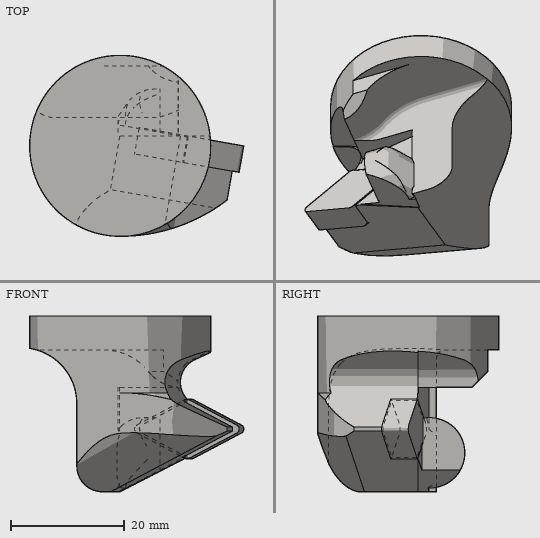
import cadquery as cq
import math


shank_radius = 32.0 / 2
head_height = 31.1
rake_tilt = 10.0
tilt = math.radians(rake_tilt)

reach = 60.0

back_wall_x = -7.67
back_fillet_start = -15.46
back_fillet_radius = 9.8
heel_radius = 4.6

insert_tip_x = 21.85
insert_tip_z = -20.0
insert_angle = 55.0
inscribed_diameter = 9.525
insert_thickness = 4.76
insert_corner_radius = 0.8
insert_rise = 0.21
seat_level = 3.58
seat_left_x = -1.0

half_angle = math.radians(insert_angle / 2)
nose_x = 20.28
nose_half_height = 0.36
slot_floor_x = 10.195
slot_radius = 4.4
slot_roof_angle = math.radians(25.0)

bulge_radius = 31.0
bulge_top = -13.6
bulge_back_y = 8.0

clearance_radius = 16.0
clearance_depth = 14.57
clearance_axis_y = -1.29

gullet_roof_z = -6.04
gullet_bend_z = -9.85
gullet_lip_z = -12.65
gullet_bend_x = 5.0
gullet_slope = math.radians(52.0)
gullet_wall_y = 4.98
gullet_fillet = 3.05 / 2
lip_back_y = 14.06
lip_chamfer = gullet_bend_z - gullet_lip_z

clamp_center_z = -24.2
clamp_crown_y = 10.0
clamp_crown_radius = 6.22
clamp_left_x = -4.0
clamp_right_x = 7.0
clamp_end_angle = math.radians(35.0)
clamp_upper_corner = 4.9
clamp_lower_corner = 1.8
clamp_shoulder_radius = 5.6


def tilted(shape):
    """Turn a shape modelled square to the axes into the tilted rake frame."""
    return shape.rotate((0, 0, 0), (0, 0, 1), -rake_tilt)


def slab(profile, front_y, back_y):
    """Extrude a closed X-Z profile from front_y to back_y."""
    return profile.extrude(front_y - back_y).translate((0, front_y, 0))


def on_circle(center, radius, angle):
    """Point of a circle in a sketch plane, at an angle from the first axis of that plane."""
    return (center[0] + radius * math.cos(angle), center[1] + radius * math.sin(angle))


def make_insert():
    """Rhombic plate with rounded corners, its sharp tip pointing along the tilted X axis."""
    half_length = inscribed_diameter / 2 / math.sin(half_angle)
    half_width = inscribed_diameter / 2 / math.cos(half_angle)
    tip_x = insert_tip_x * math.cos(tilt)
    rounding = insert_corner_radius * (1 / math.sin(half_angle) - 1)
    center_x = tip_x + rounding - half_length
    rhombus = (
        cq.Workplane("XZ")
        .center(center_x, insert_tip_z)
        .polyline([(half_length, 0), (0, half_width), (-half_length, 0), (0, -half_width)])
        .close()
    )
    top = seat_level + insert_rise
    plate = slab(rhombus, top - insert_thickness, top)
    return tilted(plate.edges("|Y").fillet(insert_corner_radius))


def make_bulge():
    """Swelling of the shank on the +X side, tangent to it at its front and coned on top."""
    disc = (
        cq.Workplane("XY", origin=(0, bulge_radius - shank_radius, -head_height))
        .circle(bulge_radius)
        .extrude(head_height)
    )
    front_corner = cq.Workplane("XY").box(
        reach, shank_radius + bulge_back_y, head_height, centered=False
    )
    front_corner = front_corner.translate((0, -shank_radius, -head_height))
    cone_base_radius = shank_radius + bulge_top + head_height
    cone = (
        cq.Workplane("XZ")
        .polyline([(0, bulge_top + shank_radius), (cone_base_radius, -head_height), (0, -head_height)])
        .close()
        .revolve(360, (0, 0, 0), (0, 1, 0))
    )
    return disc.intersect(front_corner).intersect(cone)


def make_clamp():
    """Domed boss whose slanted end, facing -X and +Y, is rounded along its edges."""
    crown = (
        cq.Workplane("YZ", origin=(clamp_left_x, 0, 0))
        .center(clamp_crown_y - clamp_crown_radius, clamp_center_z)
        .circle(clamp_crown_radius)
        .extrude(clamp_right_x - clamp_left_x)
    )
    end_run = clamp_crown_y * math.tan(clamp_end_angle)
    block = (
        cq.Workplane("XY", origin=(0, 0, clamp_center_z - clamp_crown_radius))
        .polyline([
            (clamp_left_x, 0),
            (clamp_right_x, 0),
            (clamp_right_x, clamp_crown_y),
            (clamp_left_x + end_run, clamp_crown_y),
        ])
        .close()
        .extrude(2 * clamp_crown_radius)
    )
    shoulder = cq.selectors.NearestToPointSelector(
        (clamp_left_x + end_run, clamp_crown_y, clamp_center_z)
    )
    block = block.edges(shoulder).fillet(clamp_shoulder_radius)
    block = block.faces("<X").edges(">Z").fillet(clamp_upper_corner)
    block = block.faces("<X").edges("<Z").fillet(clamp_lower_corner)
    return block.intersect(crown)


def back_cutter():
    """Everything left of the back wall, with its upper fillet and the rounded heel."""
    fillet_center = (back_wall_x - back_fillet_radius, back_fillet_start)
    heel_center = (back_wall_x + heel_radius, -head_height + heel_radius)
    outline = (
        cq.Workplane("XZ")
        .moveTo(fillet_center[0], back_fillet_start + back_fillet_radius)
        .threePointArc(
            on_circle(fillet_center, back_fillet_radius, math.radians(45)),
            (back_wall_x, back_fillet_start),
        )
        .lineTo(back_wall_x, heel_center[1])
        .threePointArc(
            on_circle(heel_center, heel_radius, math.radians(225)),
            (heel_center[0], -head_height),
        )
        .lineTo(fillet_center[0], -head_height)
        .close()
    )
    return slab(outline, -reach, reach)


def nose_outline():
    """Space beyond the nose: chip slot, both flanks and the nose flat."""
    sin_half = math.sin(half_angle)
    cos_half = math.cos(half_angle)
    nose_top = insert_tip_z + nose_half_height
    nose_bottom = insert_tip_z - nose_half_height
    center_x = slot_floor_x + slot_radius
    center = (center_x, nose_top + (slot_radius + (nose_x - center_x) * sin_half) / cos_half)
    roof_start = on_circle(center, slot_radius, math.pi / 2 + slot_roof_angle)
    flank_start = on_circle(center, slot_radius, -math.pi / 2 - half_angle)
    flank_drop = reach * math.tan(half_angle)
    return (
        cq.Workplane("XZ")
        .moveTo(nose_x, nose_top)
        .lineTo(*flank_start)
        .threePointArc((slot_floor_x, center[1]), roof_start)
        .lineTo(reach, roof_start[1] + (reach - roof_start[0]) * math.tan(slot_roof_angle))
        .lineTo(reach, nose_bottom - flank_drop)
        .lineTo(nose_x - reach, nose_bottom - flank_drop)
        .lineTo(nose_x, nose_bottom)
        .close()
    )


def nose_cutter():
    """The nose outline swept square to the seat."""
    return tilted(slab(nose_outline(), -reach, reach))


def rear_nose_cutter():
    """The nose outline carried straight back, so nothing behind the seat overhangs it."""
    edge_x = slot_floor_x * math.cos(tilt) + seat_level * math.sin(tilt)
    edge_y = seat_level * math.cos(tilt) - slot_floor_x * math.sin(tilt)
    outline = nose_outline().translate((edge_x - slot_floor_x, 0, 0))
    return slab(outline, edge_y, reach)


def clearance_cutter():
    """Rounded relief in front of the lower flank: a cylinder running along the flank stays."""
    along_flank = cq.Vector(math.cos(half_angle), 0, math.sin(half_angle))
    section = cq.Plane(
        origin=(nose_x, 0, insert_tip_z - nose_half_height), xDir=(0, 1, 0), normal=along_flank
    )
    axis = (clearance_axis_y, clearance_depth)
    edge_angle = math.pi + math.asin(clearance_depth / clearance_radius)
    edge_y = on_circle(axis, clearance_radius, edge_angle)[0]
    outline = (
        cq.Workplane(section)
        .moveTo(edge_y, 0)
        .threePointArc(
            on_circle(axis, clearance_radius, (math.pi + edge_angle) / 2),
            on_circle(axis, clearance_radius, math.pi),
        )
        .lineTo(-reach, clearance_depth)
        .lineTo(-reach, 0)
        .close()
    )
    return tilted(outline.extrude(reach, both=True))


def gullet_cutter():
    """Space behind the gullet wall, under an S-shaped roof that is filleted to the wall."""
    upper_radius = (gullet_roof_z - gullet_bend_z) / (1 - math.cos(gullet_slope))
    lower_radius = (gullet_bend_z - gullet_lip_z) / (1 - math.cos(gullet_slope))
    roof_end_x = gullet_bend_x - upper_radius * math.sin(gullet_slope)
    lip_x = gullet_bend_x + lower_radius * math.sin(gullet_slope)
    upper_center = (roof_end_x, gullet_roof_z - upper_radius)
    lower_center = (lip_x, gullet_lip_z + lower_radius)
    outline = (
        cq.Workplane("XZ")
        .moveTo(-reach, gullet_roof_z)
        .lineTo(roof_end_x, gullet_roof_z)
        .threePointArc(
            on_circle(upper_center, upper_radius, math.pi / 2 - gullet_slope / 2),
            (gullet_bend_x, gullet_bend_z),
        )
        .threePointArc(
            on_circle(lower_center, lower_radius, -math.pi / 2 - gullet_slope / 2),
            (lip_x, gullet_lip_z),
        )
        .lineTo(reach, gullet_lip_z)
        .lineTo(reach, -reach)
        .lineTo(-reach, -reach)
        .close()
    )
    space = slab(outline, gullet_wall_y, reach)
    roof_and_wall_edges = cq.selectors.BoxSelector(
        (-reach, gullet_wall_y - gullet_fillet, gullet_lip_z - gullet_fillet),
        (reach, gullet_wall_y + gullet_fillet, 0),
    )
    return space.edges(roof_and_wall_edges).fillet(gullet_fillet)


def lip_cutter():
    """Space beyond the flat back of the gullet lip and its 45 degree bevel."""
    outline = (
        cq.Workplane("YZ")
        .moveTo(lip_back_y, gullet_roof_z)
        .lineTo(lip_back_y, gullet_bend_z)
        .lineTo(lip_back_y - lip_chamfer, gullet_lip_z)
        .lineTo(lip_back_y - lip_chamfer, -reach)
        .lineTo(reach, -reach)
        .lineTo(reach, gullet_roof_z)
        .close()
    )
    return outline.extrude(reach, both=True)


def seat_cutter():
    """Step down from the gullet wall to the tilted seat of the insert."""
    space = cq.Workplane("XY").box(reach, reach, reach, centered=False)
    return tilted(space.translate((seat_left_x, seat_level, gullet_lip_z - reach)))


def make_head():
    """Shank, bulge and clamp boss as one body, cut to shape but without the insert pocket."""
    shank = cq.Workplane("XY").circle(shank_radius).extrude(-head_height)
    head = shank.union(make_bulge())
    for cutter in (gullet_cutter(), seat_cutter(), lip_cutter()):
        head = head.cut(cutter)
    head = head.union(make_clamp())
    for cutter in (back_cutter(), nose_cutter(), rear_nose_cutter(), clearance_cutter()):
        head = head.cut(cutter)
    return head


insert = make_insert()
head = make_head().cut(insert)
result = cq.Compound.makeCompound([*head.vals(), *insert.vals()])